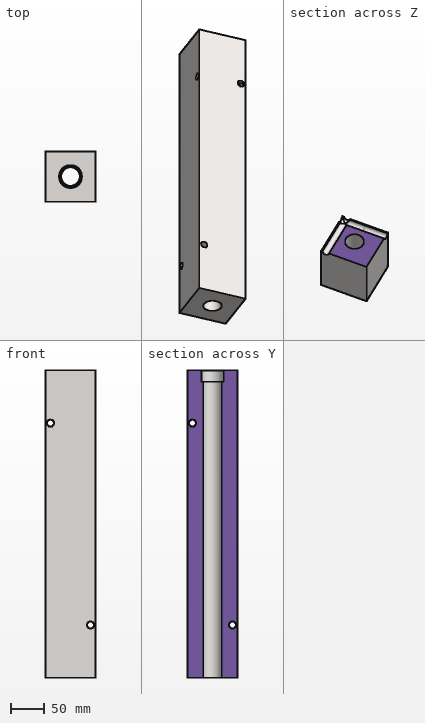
import cadquery as cq

length = 463.5
width = 76.0

bore_diameter = 28.0
counterbore_diameter = 33.0
counterbore_depth = 17.0
mouth_chamfer = 1.0

cross_hole_diameter = 10.0
edge_offset = 8.0
end_offset = 79.5

side_position = width / 2 - edge_offset
upper_height = length - end_offset
lower_height = end_offset


def square_bar():
    return cq.Workplane("XY").rect(width, width).extrude(length)


def axial_bore():
    """Through bore, counterbore and mouth chamfer, revolved as one cutter."""
    bore_radius = bore_diameter / 2
    counterbore_radius = counterbore_diameter / 2
    floor_height = length - counterbore_depth
    return (
        cq.Workplane("XZ")
        .moveTo(0, 0)
        .lineTo(bore_radius, 0)
        .lineTo(bore_radius, floor_height)
        .lineTo(counterbore_radius, floor_height)
        .lineTo(counterbore_radius, length - mouth_chamfer)
        .lineTo(counterbore_radius + mouth_chamfer, length)
        .lineTo(0, length)
        .close()
        .revolve(360, (0, 0, 0), (0, 1, 0))
    )


def cross_hole_along_y(x, z):
    """Cutter crossing the bar from the -Y face to the +Y face."""
    return (
        cq.Workplane("XZ")
        .center(x, z)
        .circle(cross_hole_diameter / 2)
        .extrude(width / 2, both=True)
    )


def cross_hole_along_x(y, z):
    """Cutter crossing the bar from the -X face to the +X face."""
    return (
        cq.Workplane("YZ")
        .center(y, z)
        .circle(cross_hole_diameter / 2)
        .extrude(width / 2, both=True)
    )


result = square_bar().cut(axial_bore())

for side, height in ((1, upper_height), (-1, lower_height)):
    result = result.cut(cross_hole_along_y(-side * side_position, height))
    result = result.cut(cross_hole_along_x(side * side_position, height))